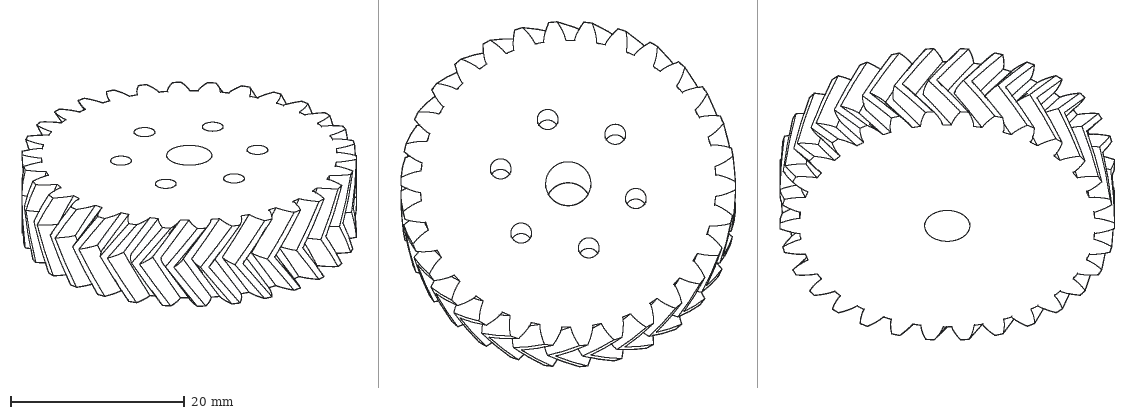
import cadquery as cq
import math

outer_diameter = 38.62
face_width = 10.0
tooth_count = 30
helix_angle = math.radians(35)
normal_pressure_angle = math.radians(20)
dedendum_factor = 1.25
flank_points = 5

bore_diameter = 5.2
pin_hole_diameter = 2.4
pin_hole_count = 6
pin_circle_radius = 8.0

normal_module = outer_diameter / (tooth_count / math.cos(helix_angle) + 2)
tip_radius = outer_diameter / 2
pitch_radius = tip_radius - normal_module
root_radius = pitch_radius - dedendum_factor * normal_module
pressure_angle = math.atan(math.tan(normal_pressure_angle) / math.cos(helix_angle))
base_radius = pitch_radius * math.cos(pressure_angle)
tooth_pitch = 2 * math.pi / tooth_count

half_width = face_width / 2
half_twist = math.degrees(half_width * math.tan(helix_angle) / pitch_radius)
pin_hole_depth = half_width


def involute(angle):
    return math.tan(angle) - angle


def tooth_half_angle(radius):
    """Half of the angle that one tooth spans at the given radius."""
    local_pressure_angle = math.acos(base_radius / radius)
    return tooth_pitch / 4 + involute(pressure_angle) - involute(local_pressure_angle)


def polar(radius, angle):
    return (radius * math.cos(angle), radius * math.sin(angle))


def gear_outline():
    """Closed outline of all teeth, with one tooth centred on +Y."""
    radial_step = (tip_radius - root_radius) / (flank_points - 1)
    radii = [root_radius + radial_step * i for i in range(flank_points)]
    first_centre = math.pi / 2
    outline = cq.Workplane("XY").moveTo(*polar(root_radius, first_centre - tooth_half_angle(root_radius)))
    for tooth in range(tooth_count):
        centre = first_centre + tooth * tooth_pitch
        rising_flank = [polar(r, centre - tooth_half_angle(r)) for r in radii]
        falling_flank = [polar(r, centre + tooth_half_angle(r)) for r in reversed(radii)]
        gap_middle = polar(root_radius, centre + tooth_pitch / 2)
        next_root = polar(root_radius, centre + tooth_pitch - tooth_half_angle(root_radius))
        outline = (
            outline.spline(rising_flank[1:], includeCurrent=True)
            .threePointArc(polar(tip_radius, centre), falling_flank[0])
            .spline(falling_flank[1:], includeCurrent=True)
            .threePointArc(gap_middle, next_root)
        )
    return outline.close()


def herringbone_blank():
    """Two mirrored helical halves that meet at the mid-plane."""
    lower_half = gear_outline().twistExtrude(half_width, -half_twist)
    upper_half = lower_half.mirror("XY", (0, 0, half_width))
    return lower_half.union(upper_half)


def bore():
    return cq.Workplane("XY").circle(bore_diameter / 2).extrude(face_width)


def pin_holes():
    """Ring of blind holes in the top face, the first one on +Y."""
    return (
        cq.Workplane("XY", origin=(0, 0, face_width - pin_hole_depth))
        .polarArray(pin_circle_radius, 90, 360, pin_hole_count)
        .circle(pin_hole_diameter / 2)
        .extrude(pin_hole_depth)
    )


result = herringbone_blank().cut(bore()).cut(pin_holes())